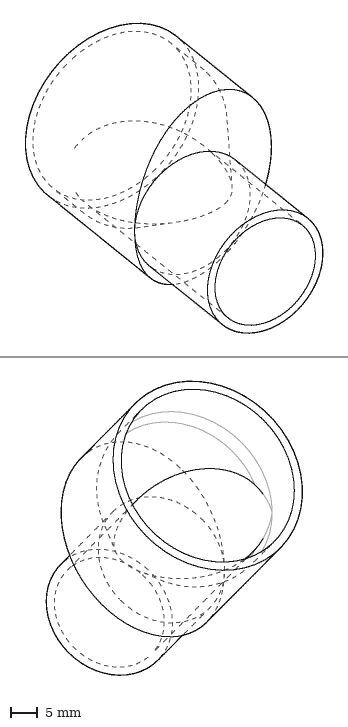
import cadquery as cq
import math

length = 63.5
large_outer_radius = 38.1 / 2
small_outer_radius = 25.4 / 2
large_bore_radius = 34.8 / 2
wall = large_outer_radius - large_bore_radius
small_bore_radius = small_outer_radius - wall

small_tube_length = 25.4
shoulder_slope = 45.0

large_bore_depth = 10.8
throat_radius = 16.6
inner_cone_slope = 30.0

large_end = -length / 2
small_end = length / 2
shoulder_x = small_end - small_tube_length
bore_end_x = large_end + large_bore_depth
small_axis_y = small_outer_radius - large_outer_radius


def cylinder(radius, axis_y, start_x, end_x):
    """Solid round bar along X."""
    return (
        cq.Workplane("YZ", origin=(start_x, axis_y, 0))
        .circle(radius)
        .extrude(end_x - start_x)
    )


def shoulder_cone():
    """Cone on the small tube's axis, wide enough to clear the large tube at its open end."""
    cone_length = shoulder_x - large_end
    wide_radius = small_outer_radius + cone_length * math.tan(math.radians(shoulder_slope))
    return (
        cq.Workplane("XZ", origin=(0, small_axis_y, 0))
        .moveTo(large_end, 0)
        .lineTo(large_end, -wide_radius)
        .lineTo(shoulder_x, -small_outer_radius)
        .lineTo(shoulder_x, 0)
        .close()
        .revolve(360, (0, 0, 0), (1, 0, 0))
    )


def outer_form():
    """Large tube trimmed to a slanted shoulder, with the small tube on its end."""
    large_tube = cylinder(large_outer_radius, 0, large_end, shoulder_x)
    small_tube = cylinder(small_outer_radius, small_axis_y, shoulder_x, small_end)
    return large_tube.intersect(shoulder_cone()).union(small_tube)


def large_bore():
    """Straight bore that ends in a cone, with a round tangent to both; the cone tip lies in the small bore."""
    slope = math.radians(inner_cone_slope)
    round_radius = (large_bore_radius - throat_radius) / (1 - math.cos(slope))
    round_middle = (
        bore_end_x + round_radius * math.sin(slope / 2),
        -large_bore_radius + round_radius * (1 - math.cos(slope / 2)),
    )
    throat_x = bore_end_x + round_radius * math.sin(slope)
    tip_x = throat_x + throat_radius / math.tan(slope)
    return (
        cq.Workplane("XY")
        .moveTo(large_end, 0)
        .lineTo(large_end, -large_bore_radius)
        .lineTo(bore_end_x, -large_bore_radius)
        .threePointArc(round_middle, (throat_x, -throat_radius))
        .lineTo(tip_x, 0)
        .close()
        .revolve(360, (0, 0, 0), (1, 0, 0))
    )


def small_bore():
    """Straight bore from the small end that breaks through the cone into the large bore."""
    return cylinder(small_bore_radius, small_axis_y, bore_end_x, small_end)


reducer = outer_form().cut(large_bore()).cut(small_bore())

result = cq.Compound.makeCompound([reducer.val()])